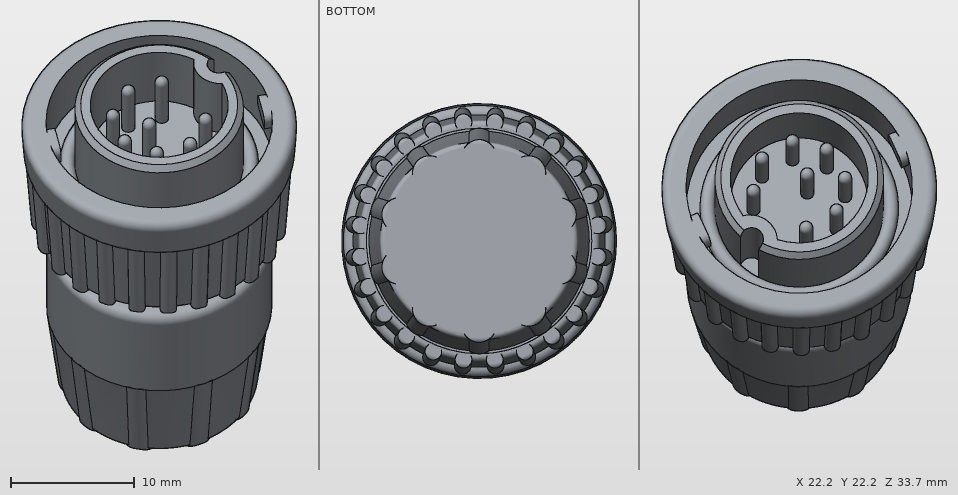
import cadquery as cq
import math

total_height = 33.72

grip_height = 8.77
grip_foot_radius = 7.95
ridge_count = 10
first_ridge_angle = -90
ridge_radius = 1.4
ridge_height = 0.2
grip_foot_round = 0.4

crest_clearance = 0.05
rod_overrun = 1.0

body_radius = 9.1
grip_top_radius = body_radius - ridge_height
body_top = 17.7
body_round = 0.78
neck_radius = 7.8

ring_bottom = 19.7
ring_top = 31.63
ring_diameter = 22.22
ring_taper = 0.06
ring_top_round = 0.7
ring_bore_radius = 9.15
collar_bottom = 27.8
collar_round = 0.67
skirt_step = 0.75
rib_count = 24
rib_radius = 0.67
rib_inset = 0.1
skirt_foot_round = 0.4

lug_angles = (60, 240)
lug_inner_distance = 8.4
lug_width = 2.75
lug_height = 1.35
lug_round = 0.65
lug_root = 0.35

tube_radius = 6.8
tube_bore_radius = 5.55
tube_chamfer = 0.47
tube_floor = 27.65
seal_floor = 26.4
seal_section_radius = 0.6
key_groove_center = 6.47
key_groove_radius = 0.95
key_wall_center = 6.7
key_wall_radius = 2.23
pin_radius = 0.55
pin_top = 32.65
pin_circle_radius = 3.75
pin_angle_step = 45
key_pin_angle = 90
inner_pin_offset = 1.08


def disc(radius, bottom, top):
    """Cylinder on the part axis between two heights."""
    return cq.Workplane("XY").workplane(offset=bottom).circle(radius).extrude(top - bottom)


def cone(bottom_radius, top_radius, bottom, top):
    """Solid cone frustum on the part axis."""
    outline = [(0, bottom), (bottom_radius, bottom), (top_radius, top), (0, top)]
    return cq.Workplane("XZ").polyline(outline).close().revolve(360, (0, 0), (0, 1))


def slanted_rods(count, first_angle, rod_radius, bottom_crest, top_crest, bottom, top):
    """List of round rods in a ring whose crests follow a cone between two heights."""
    slant = cq.Vector(top_crest - bottom_crest, 0, top - bottom)
    start = cq.Vector(bottom_crest - rod_radius, 0, bottom)
    rod = cq.Solid.makeCylinder(rod_radius, slant.Length, start, slant)
    step = 360 / count
    return [rod.rotate((0, 0, 0), (0, 0, 1), first_angle + i * step) for i in range(count)]


def ring_radius(height):
    """Radius of the coupling ring's outer cone at a height."""
    return ring_diameter / 2 - ring_taper * (ring_top - ring_top_round - height)


def add_rods(core, envelope, rods):
    """Join the rods, trimmed to the envelope, to the core."""
    trimmed = [envelope.val().intersect(rod) for rod in rods]
    return cq.Workplane(core.val().fuse(*trimmed))


def make_grip():
    """Tapered grip whose ridge crests run out to the body radius."""
    slope = (grip_top_radius - grip_foot_radius) / grip_height
    core = cone(grip_foot_radius, grip_top_radius, 0, grip_height).faces("<Z").edges().fillet(grip_foot_round)
    foot_crest = grip_foot_radius + ridge_height
    top_crest = grip_top_radius + ridge_height
    envelope = cone(foot_crest + crest_clearance, top_crest + crest_clearance, 0, grip_height)
    envelope = envelope.faces("<Z").edges().fillet(grip_foot_round)
    rods = slanted_rods(
        ridge_count,
        first_ridge_angle,
        ridge_radius,
        foot_crest - slope * rod_overrun,
        top_crest + slope * rod_overrun,
        -rod_overrun,
        grip_height + rod_overrun,
    )
    return add_rods(core, envelope, rods)


def make_body():
    """Round body with a thinner neck rising into the coupling ring."""
    body = disc(body_radius, grip_height, body_top).faces(">Z").edges().fillet(body_round)
    return body.union(disc(neck_radius, body_top, seal_floor))


def make_coupling_ring():
    """Ribbed skirt and plain collar, bored down to the seal floor."""
    collar = cone(ring_radius(collar_bottom), ring_radius(ring_top), collar_bottom, ring_top)
    collar = collar.faces(">Z").edges().fillet(ring_top_round)
    collar = collar.faces("<Z").edges().fillet(collar_round)
    skirt_top = collar_bottom + collar_round
    foot_crest = ring_radius(ring_bottom) - rib_inset
    top_crest = ring_radius(skirt_top) - rib_inset
    skirt = cone(
        ring_radius(ring_bottom) - skirt_step, ring_radius(skirt_top) - skirt_step, ring_bottom, skirt_top
    )
    skirt = skirt.faces("<Z").edges().fillet(skirt_foot_round)
    envelope = cone(foot_crest + crest_clearance, top_crest + crest_clearance, ring_bottom, skirt_top)
    envelope = envelope.faces("<Z").edges().fillet(skirt_foot_round)
    ribs = slanted_rods(
        rib_count,
        180 / rib_count,
        rib_radius,
        foot_crest - ring_taper * rod_overrun,
        top_crest,
        ring_bottom - rod_overrun,
        skirt_top,
    )
    ring = add_rods(skirt, envelope, ribs).union(collar)
    ring = ring.cut(disc(ring_bore_radius, seal_floor, ring_top))
    return ring.union(make_lugs())


def make_lugs():
    """Lugs with flat inner faces, level with the ring top and rounded at both upper edges."""
    lug_depth = ring_bore_radius + lug_root - lug_inner_distance
    lug = (
        cq.Workplane("XY")
        .box(lug_depth, lug_width, lug_height, centered=(False, True, False))
        .faces(">Z")
        .edges("|X")
        .fillet(lug_round)
        .translate((lug_inner_distance, 0, ring_top - lug_height))
    )
    lugs = cq.Workplane("XY")
    for angle in lug_angles:
        lugs = lugs.union(lug.rotate((0, 0, 0), (0, 0, 1), angle))
    return lugs


def make_seal():
    """Round seal half sunk in the floor between tube and ring."""
    return (
        cq.Workplane("XZ")
        .moveTo(tube_radius + seal_section_radius, seal_floor)
        .circle(seal_section_radius)
        .revolve(360, (0, 0, 0), (0, 1, 0))
    )


def make_insert():
    """Tube with a key groove outside and a matching key wall bulging into its cavity."""
    tube = disc(tube_radius, seal_floor, total_height).faces(">Z").edges().chamfer(tube_chamfer)
    key_wall = disc(key_wall_radius, tube_floor, total_height).translate((0, key_wall_center, 0))
    key_groove = disc(key_groove_radius, seal_floor, total_height).translate((0, key_groove_center, 0))
    cavity = disc(tube_bore_radius, tube_floor, total_height).cut(key_wall)
    return tube.cut(cavity).cut(key_groove)


def make_pins():
    """Round-tipped contact pins standing on the tube floor."""
    positions = [(0, -inner_pin_offset)]
    for angle in range(0, 360, pin_angle_step):
        if angle != key_pin_angle:
            turn = math.radians(angle)
            positions.append((pin_circle_radius * math.cos(turn), pin_circle_radius * math.sin(turn)))
    shaft_top = pin_top - pin_radius
    shafts = cq.Workplane("XY").workplane(offset=tube_floor).pushPoints(positions)
    shafts = shafts.circle(pin_radius).extrude(shaft_top - tube_floor)
    tips = cq.Workplane("XY").workplane(offset=shaft_top).pushPoints(positions).sphere(pin_radius)
    return shafts.union(tips)


result = (
    make_grip()
    .union(make_body())
    .union(make_coupling_ring())
    .union(make_seal())
    .union(make_insert())
    .union(make_pins())
)